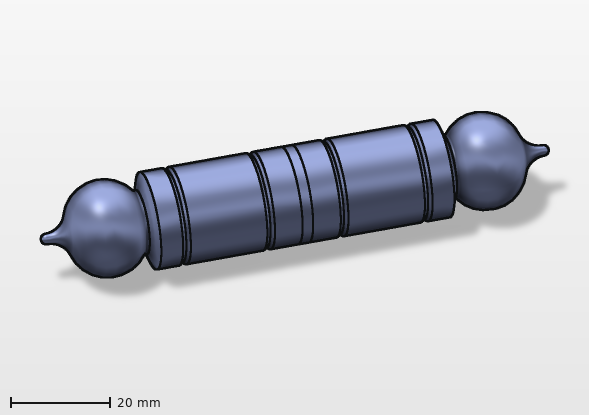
import cadquery as cq
import math

total_length = 106.0
body_diameter = 20.0
body_radius = body_diameter / 2
tip_y = total_length / 2

ring_width = 2.2
ring_end_y = ring_width / 2

groove_diameter = 19.0
groove_bottom_radius = groove_diameter / 2
groove_width = 1.6
groove_centers = (7.67, 25.23)

shoulder_y = 30.6
shoulder_end_radius = 6.6
shoulder_sag = 0.12

bulb_center_y = 39.45
bulb_arc_radius = 8.25
bulb_center_radius = body_radius - bulb_arc_radius
bulb_end_radius = 4.3
bulb_end_y = bulb_center_y + math.sqrt(bulb_arc_radius ** 2 - (bulb_end_radius - bulb_center_radius) ** 2)

waist_radius = 6.5
waist_arc_radius = 0.6
waist_center_radius = waist_radius + waist_arc_radius
waist_reach = bulb_arc_radius + waist_arc_radius
waist_offset = waist_center_radius - bulb_center_radius
waist_center_y = bulb_center_y - math.sqrt(waist_reach ** 2 - waist_offset ** 2)
bulb_share = bulb_arc_radius / waist_reach
bulb_start_radius = bulb_center_radius + bulb_share * waist_offset
bulb_start_y = bulb_center_y + bulb_share * (waist_center_y - bulb_center_y)
waist_start_offset = waist_center_radius - shoulder_end_radius
shoulder_end_y = waist_center_y - math.sqrt(waist_arc_radius ** 2 - waist_start_offset ** 2)

stem_end_y = 51.9
stem_end_radius = 1.1
tip_height = tip_y - stem_end_y


def shoulder_middle():
    """Middle point of the shoulder arc, pushed in from its chord by the sag."""
    run = shoulder_end_y - shoulder_y
    drop = body_radius - shoulder_end_radius
    chord = math.hypot(run, drop)
    middle_radius = (body_radius + shoulder_end_radius) / 2 - shoulder_sag * run / chord
    middle_y = (shoulder_y + shoulder_end_y) / 2 - shoulder_sag * drop / chord
    return middle_radius, middle_y


def stem_middle():
    """Middle point of the stem arc, which runs parallel to the axis where it meets the tip."""
    rise = bulb_end_radius - stem_end_radius
    run = stem_end_y - bulb_end_y
    arc_radius = (rise ** 2 + run ** 2) / (2 * rise)
    half_angle = math.asin(run / arc_radius) / 2
    middle_radius = stem_end_radius + arc_radius * (1 - math.cos(half_angle))
    return middle_radius, stem_end_y - arc_radius * math.sin(half_angle)


def tip_middle():
    """Middle point of the arc that rounds the tip."""
    arc_radius = (stem_end_radius ** 2 + tip_height ** 2) / (2 * tip_height)
    half_angle = math.acos((arc_radius - tip_height) / arc_radius) / 2
    return arc_radius * math.sin(half_angle), tip_y - arc_radius * (1 - math.cos(half_angle))


def make_half():
    """One turned half on the +Y side: barrel, shoulder, bulb and finial."""
    outline = cq.Workplane("XY").moveTo(0, ring_end_y).lineTo(body_radius, ring_end_y)
    for center_y in groove_centers:
        outline = (
            outline.lineTo(body_radius, center_y - groove_width / 2)
            .lineTo(groove_bottom_radius, center_y)
            .lineTo(body_radius, center_y + groove_width / 2)
        )
    outline = (
        outline.lineTo(body_radius, shoulder_y)
        .threePointArc(shoulder_middle(), (shoulder_end_radius, shoulder_end_y))
        .threePointArc((waist_radius, waist_center_y), (bulb_start_radius, bulb_start_y))
        .threePointArc((body_radius, bulb_center_y), (bulb_end_radius, bulb_end_y))
        .threePointArc(stem_middle(), (stem_end_radius, stem_end_y))
        .threePointArc(tip_middle(), (0, tip_y))
        .close()
    )
    return outline.revolve(360, (0, 0), (0, 1))


def make_ring():
    """Plain ring between the two halves."""
    return cq.Workplane("XZ", origin=(0, ring_end_y, 0)).circle(body_radius).extrude(ring_width)


halves = [make_half().rotate((0, 0, 0), (0, 0, 1), turn) for turn in (0, 180)]
ring = make_ring()

result = cq.Compound.makeCompound([*(half.val() for half in halves), ring.val()])